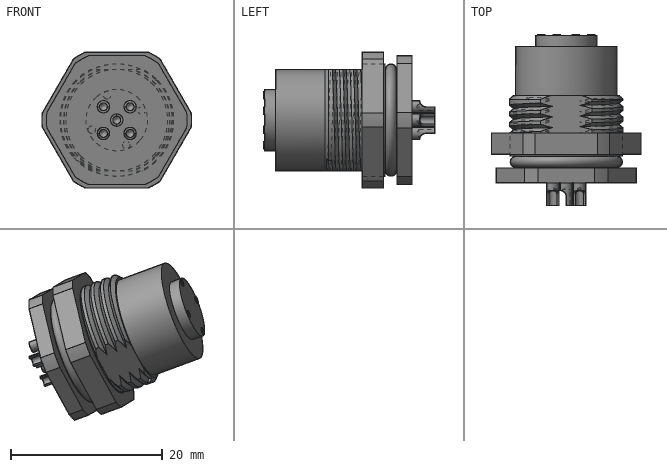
import cadquery as cq
import math


flange_end = 2.0
seal_center = 2.78
shank_start = 3.55
nut_start = 3.75
nut_end = 6.6
thread_end = 11.53
barrel_end = 18.03
insert_end = 19.48
mark_end = 19.6

flange_flats = 17.02
flange_corner_radius = 9.29
barrel_radius = 6.71
insert_radius = 4.07
seal_radius = 0.72
seal_outer_radius = 7.41
shank_radius = 7.44

nut_flats = 18.0
nut_corner_radius = 9.9

thread_crest_radius = 7.53
thread_root_radius = 6.95
thread_pitch = 1.4
thread_angle = 80.0
thread_chamfer = 0.5
groove_start = 11.05
groove_start_angle = -135.0
groove_overcut = 0.11
lower_flat_angle = -90.0

cup_length = 3.0
cup_radius = 0.81
cup_bore_radius = 0.52
cup_bore_start = 0.9
cup_bore_tip_angle = 30.0
cup_bore_tip = cup_bore_radius * math.tan(math.radians(cup_bore_tip_angle))
cup_closed_length = 1.02
cup_offset = 1.76

mark_radius = 0.5
mark_circle_radius = 3.53
mark_start_angle = 21.0
mark_count = 4


def disc(radius, start, end):
    """Cylinder about the Y axis between two Y positions."""
    return cq.Workplane("XZ", origin=(0, start, 0)).circle(radius).extrude(start - end)


def hex_plate(flats, corner_radius, start, end):
    """Hexagon with flats at top and bottom, its corners turned down to a circle."""
    across_corners = flats / math.cos(math.radians(30))
    hexagon = cq.Workplane("XZ", origin=(0, start, 0)).polygon(6, across_corners).extrude(start - end)
    return hexagon.intersect(disc(corner_radius, start, end))


def groove_cutter(start_angle, end_angle):
    """Piece of the right-handed V groove between two winding angles, measured from +X toward +Z."""
    outer_radius = thread_crest_radius + groove_overcut
    half_width = (outer_radius - thread_root_radius) * math.tan(math.radians(thread_angle / 2))
    length = thread_pitch * (end_angle - start_angle) / 360
    start_position = groove_start - thread_pitch * (start_angle - groove_start_angle) / 360
    helix = cq.Wire.makeHelix(thread_pitch, length, thread_root_radius)
    cutter = (
        cq.Workplane("XZ")
        .moveTo(thread_root_radius, 0)
        .lineTo(outer_radius, half_width)
        .lineTo(outer_radius, -half_width)
        .close()
        .sweep(cq.Workplane(helix), isFrenet=True)
    )
    return (
        cutter.rotate((0, 0, 0), (0, 0, 1), start_angle)
        .rotate((0, 0, 0), (1, 0, 0), 90)
        .translate((0, start_position, 0))
    )


def thread():
    """Threaded length in front of the nut, flattened to the barrel height.

    The groove root clears both flats, so the groove is cut in half turns that run from flat to flat.
    """
    thread_diameter = 2 * thread_crest_radius
    flats = cq.Workplane("XY").box(thread_diameter, 2 * thread_end, 2 * barrel_radius)
    body = disc(thread_crest_radius, nut_end, thread_end).faces(">Y").chamfer(thread_chamfer)
    body = body.intersect(flats)

    half_turns = math.ceil(2 * (groove_start - nut_end) / thread_pitch)
    start_angle = groove_start_angle
    end_angle = lower_flat_angle
    for _ in range(half_turns + 1):
        body = body.cut(groove_cutter(start_angle, end_angle))
        start_angle = end_angle
        end_angle += 180
    return body


def seal_ring():
    """Rounded sealing ring seated on the neck."""
    path_radius = seal_outer_radius - seal_radius
    section = cq.Workplane("XY").center(path_radius, seal_center).circle(seal_radius)
    return section.revolve(360, (-path_radius, 0), (-path_radius, 1))


def solder_cup(x, z, open_angle):
    """Bored cup with one half cut away on the side at open_angle, measured from +X toward +Z."""
    cup = disc(cup_radius, -cup_length, 0)
    bore = (
        cq.Workplane("XY")
        .moveTo(0, -cup_length)
        .lineTo(cup_bore_radius, -cup_length)
        .lineTo(cup_bore_radius, -cup_bore_start)
        .lineTo(0, -cup_bore_start + cup_bore_tip)
        .close()
        .revolve(360, (0, 0), (0, 1))
    )
    opening = (
        cq.Workplane("XY")
        .moveTo(0, -cup_length)
        .lineTo(0, -cup_closed_length - cup_radius)
        .radiusArc((cup_radius, -cup_closed_length), cup_radius)
        .lineTo(cup_radius, -cup_length)
        .close()
        .extrude(cup_radius, both=True)
    )
    return (
        cup.cut(bore)
        .cut(opening)
        .rotate((0, 0, 0), (0, 1, 0), -open_angle)
        .translate((x, 0, z))
    )


def face_marks():
    """Four raised round marks on the mating face of the insert."""
    return (
        cq.Workplane("XZ", origin=(0, insert_end, 0))
        .polarArray(mark_circle_radius, mark_start_angle, 360, mark_count)
        .circle(mark_radius)
        .extrude(insert_end - mark_end)
    )


def make_housing():
    """Flange, neck with seal, threaded barrel, insert and solder cups in one piece."""
    housing = (
        disc(barrel_radius, 0, barrel_end)
        .union(hex_plate(flange_flats, flange_corner_radius, 0, flange_end))
        .union(seal_ring())
        .union(disc(shank_radius, shank_start, nut_end))
        .union(thread())
        .union(disc(insert_radius, barrel_end, insert_end))
        .union(face_marks())
    )
    housing = housing.union(solder_cup(0, 0, 180))
    for x in (-cup_offset, cup_offset):
        housing = housing.union(solder_cup(x, cup_offset, 90))
        housing = housing.union(solder_cup(x, -cup_offset, -90))
    return housing


def make_nut():
    """Hexagon nut whose bore fits the shank behind the thread."""
    plate = hex_plate(nut_flats, nut_corner_radius, nut_start, nut_end)
    return plate.cut(disc(shank_radius, nut_start, nut_end))


housing = make_housing()
nut = make_nut()

result = cq.Compound.makeCompound([housing.solids().val(), nut.solids().val()])